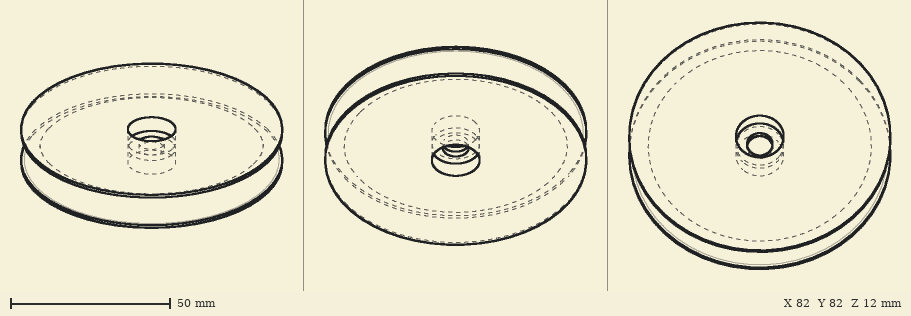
import cadquery as cq

wheel_diameter = 82.0
wheel_width = 12.0
groove_radius = 5.0
lip_width = 1.0
bore_diameter = 8.0
bearing_diameter = 15.0
bearing_depth = 5.0

wheel_radius = wheel_diameter / 2
half_width = wheel_width / 2
groove_center = wheel_radius - lip_width
groove_floor = groove_center - groove_radius


def wheel_body():
    """Solid wheel revolved from a half section with a round-bottomed groove."""
    section = (
        cq.Workplane("XZ")
        .moveTo(0, -half_width)
        .lineTo(wheel_radius, -half_width)
        .lineTo(wheel_radius, -groove_radius)
        .lineTo(groove_center, -groove_radius)
        .threePointArc((groove_floor, 0), (groove_center, groove_radius))
        .lineTo(wheel_radius, groove_radius)
        .lineTo(wheel_radius, half_width)
        .lineTo(0, half_width)
        .close()
    )
    return section.revolve(360, (0, 0, 0), (0, 1, 0))


def bearing_seat(face):
    """Cutter for the bearing pocket sunk into the top (1) or bottom (-1) face."""
    return (
        cq.Workplane("XY", origin=(0, 0, face * half_width))
        .circle(bearing_diameter / 2)
        .extrude(-face * bearing_depth)
    )


result = wheel_body().faces(">Z").workplane().hole(bore_diameter)
for face in (1, -1):
    result = result.cut(bearing_seat(face))